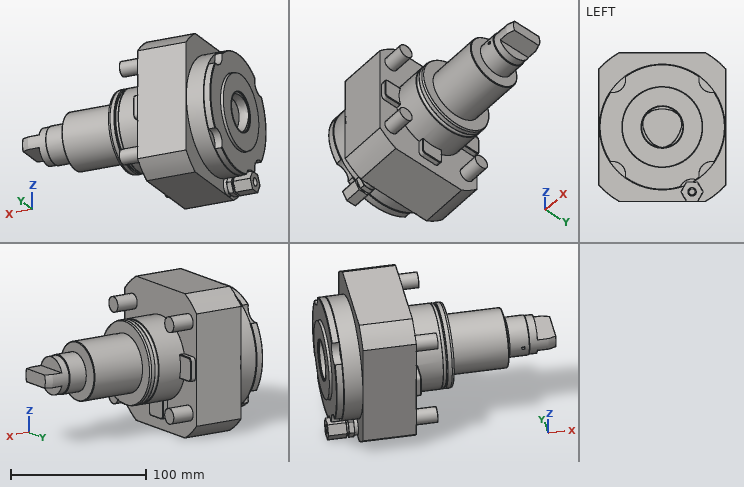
import cadquery as cq
import math


BLOCK_LENGTH = 40.0
BLOCK_WIDTH = 94.0
BLOCK_HEIGHT = 110.0
BLOCK_CORNER_RADIUS = 63.6
BLOCK_FRONT = -BLOCK_LENGTH

BODY_RADIUS = 46.5
BODY_FRONT = -54.0
PLATE_FRONT = -60.0
PLATE_CHAMFER = 0.5
NOSE_RADIUS = 29.5
NOSE_FRONT = -62.0
NOSE_CLEARANCE_RADIUS = 29.9
NOTCH_RADIUS = 9.5

SOCKET_RADIUS = 14.2
SOCKET_LOBE = 0.9
SOCKET_DEPTH = 8.7
SOCKET_POINTS = 36
SOCKET_MOUTH_RADIUS = 15.7
SOCKET_MOUTH_DEPTH = 1.0

FITTING_WIDTH = 14.3
FITTING_Y = -22.0
FITTING_Z = -(BLOCK_HEIGHT - FITTING_WIDTH) / 2
FITTING_FRONT = -62.7
NUT_REAR = -48.5
LOCKNUT_FRONT = -47.0
LOCKNUT_REAR = -43.0
FITTING_STEM_RADIUS = 5.8
FITTING_BORE_RADIUS = 2.3
FITTING_MOUTH_RADIUS = 3.1
FITTING_MOUTH_DEPTH = 7.0

SCREW_Y = 36.5
SCREW_Z = 35.0
SCREW_RADIUS = 6.0
SCREW_LENGTH = 17.3
KEY_WIDTH = 18.3
KEY_HEIGHT = 4.2
KEY_CHAMFER = 0.5
KEY_CORNER_RADIUS = 2.8
KEY_OUTER = 45.5

PILOT_RADIUS = 32.1
PILOT_REAR = 31.6
PILOT_CHAMFER_LENGTH = 1.5
PILOT_CHAMFER_DEPTH = 0.5
GROOVE_FRONT = 23.4
GROOVE_REAR = 26.9
GROOVE_DEPTH = 1.4
RING_RADIUS = 1.4
RING_X = 24.6

SHAFT_RADIUS = 22.5
SHAFT_REAR = 74.8
SHAFT_CHAMFER = 0.5
NECK_RADIUS = 9.3
DRIVE_FRONT = 76.9
DRIVE_RADIUS = 15.0
DRIVE_STEP = 91.4
DRIVE_STEP_CHAMFER = 0.5
TONGUE_RADIUS = 14.5
TONGUE_FRONT = 97.8
TONGUE_TAPER_START = 106.2
TONGUE_REAR = 112.0
TONGUE_END_RADIUS = 12.8
TONGUE_THICKNESS = 10.1
PIN_HOLE_X = 87.0
PIN_HOLE_RADIUS = 1.2
PIN_HOLE_DEPTH = 1.7


def plane_at(x):
    """Plane across the tool axis: local x is Y, local y is Z, extrusion runs to +X."""
    return cq.Workplane("YZ", origin=(x, 0, 0))


def cylinder(x_start, x_end, radius, y=0, z=0):
    return plane_at(x_start).center(y, z).circle(radius).extrude(x_end - x_start)


def hexagon(x_start, x_end, y, z):
    corner_diameter = FITTING_WIDTH / math.cos(math.pi / 6)
    return plane_at(x_start).center(y, z).polygon(6, corner_diameter).extrude(x_end - x_start)


def corner_positions():
    return [(sy * SCREW_Y, sz * SCREW_Z) for sy in (-1, 1) for sz in (-1, 1)]


def make_block():
    block = plane_at(BLOCK_FRONT).rect(BLOCK_WIDTH, BLOCK_HEIGHT).extrude(BLOCK_LENGTH)
    return block.intersect(cylinder(BLOCK_FRONT, 0, BLOCK_CORNER_RADIUS))


def make_cover():
    """Cover plate, notched for the corner screws and the fitting, with its nose."""
    plate = cylinder(PLATE_FRONT, BODY_FRONT, BODY_RADIUS).edges().chamfer(PLATE_CHAMFER)
    for y, z in corner_positions() + [(FITTING_Y, FITTING_Z)]:
        plate = plate.cut(cylinder(PLATE_FRONT, BODY_FRONT, NOTCH_RADIUS, y, z))
    plate = plate.cut(cylinder(PLATE_FRONT, BODY_FRONT, NOSE_CLEARANCE_RADIUS))
    return plate.union(cylinder(NOSE_FRONT, BODY_FRONT, NOSE_RADIUS))


def make_socket():
    """Lobed pocket in the nose, one lobe pointing to -Z, with a round tapered mouth."""
    outline = []
    for i in range(SOCKET_POINTS):
        angle = 2 * math.pi * i / SOCKET_POINTS
        radius = SOCKET_RADIUS + SOCKET_LOBE * math.sin(3 * angle)
        outline.append((radius * math.cos(angle), radius * math.sin(angle)))
    pocket = plane_at(NOSE_FRONT).spline(outline, periodic=True).close().extrude(SOCKET_DEPTH)
    mouth = cylinder(NOSE_FRONT, NOSE_FRONT + SOCKET_MOUTH_DEPTH, SOCKET_MOUTH_RADIUS)
    return pocket.union(mouth.faces(">X").chamfer(SOCKET_MOUTH_DEPTH / 2))


def make_fitting():
    nut = hexagon(FITTING_FRONT, NUT_REAR, FITTING_Y, FITTING_Z)
    bore = cylinder(FITTING_FRONT, NUT_REAR, FITTING_BORE_RADIUS, FITTING_Y, FITTING_Z)
    mouth_end = FITTING_FRONT + FITTING_MOUTH_DEPTH
    mouth = cylinder(FITTING_FRONT, mouth_end, FITTING_MOUTH_RADIUS, FITTING_Y, FITTING_Z)
    nut = nut.cut(bore).cut(mouth)
    stem = cylinder(NUT_REAR, LOCKNUT_FRONT, FITTING_STEM_RADIUS, FITTING_Y, FITTING_Z)
    locknut = hexagon(LOCKNUT_FRONT, LOCKNUT_REAR, FITTING_Y, FITTING_Z)
    collar = cylinder(LOCKNUT_REAR, BLOCK_FRONT, FITTING_WIDTH / 2, FITTING_Y, FITTING_Z)
    return nut.union(stem).union(locknut).union(collar)


def make_key(angle):
    """Locating key reaching out from the pilot; an angle of 0 points it to +Y."""
    key = cq.Workplane("XY").box(KEY_HEIGHT, KEY_OUTER, KEY_WIDTH, centered=(False, False, True))
    key = key.faces(">Y").edges("|X").fillet(KEY_CORNER_RADIUS)
    key = key.faces(">X").chamfer(KEY_CHAMFER)
    return key.rotate((0, 0, 0), (1, 0, 0), angle)


def make_spindle():
    """Pilot with its O-ring, shaft, neck and drive end, all turned about X."""
    profile = [
        (0, 0),
        (0, PILOT_RADIUS),
        (GROOVE_FRONT, PILOT_RADIUS),
        (GROOVE_FRONT, PILOT_RADIUS - GROOVE_DEPTH),
        (GROOVE_REAR, PILOT_RADIUS - GROOVE_DEPTH),
        (GROOVE_REAR, PILOT_RADIUS),
        (PILOT_REAR - PILOT_CHAMFER_LENGTH, PILOT_RADIUS),
        (PILOT_REAR, PILOT_RADIUS - PILOT_CHAMFER_DEPTH),
        (PILOT_REAR, SHAFT_RADIUS),
        (SHAFT_REAR - SHAFT_CHAMFER, SHAFT_RADIUS),
        (SHAFT_REAR, SHAFT_RADIUS - SHAFT_CHAMFER),
        (SHAFT_REAR, NECK_RADIUS),
        (DRIVE_FRONT, NECK_RADIUS),
        (DRIVE_FRONT, DRIVE_RADIUS),
        (DRIVE_STEP, DRIVE_RADIUS),
        (DRIVE_STEP + DRIVE_STEP_CHAMFER, TONGUE_RADIUS),
        (TONGUE_TAPER_START, TONGUE_RADIUS),
        (TONGUE_REAR, TONGUE_END_RADIUS),
        (TONGUE_REAR, 0),
    ]
    spindle = cq.Workplane("XY").polyline(profile).close().revolve(360, (0, 0, 0), (1, 0, 0))
    ring = cq.Workplane("XY").moveTo(RING_X, PILOT_RADIUS - RING_RADIUS).circle(RING_RADIUS)
    ring = ring.revolve(360, (0, 0, 0), (1, 0, 0))
    return spindle.union(ring)


def cut_drive_end(body):
    """Flatten the end into a tongue and drill the pin hole from the -Y side."""
    flat_length = TONGUE_REAR - TONGUE_FRONT
    flat_depth = TONGUE_RADIUS - TONGUE_THICKNESS / 2
    flat_z = (TONGUE_RADIUS + TONGUE_THICKNESS / 2) / 2
    for side in (-1, 1):
        flat = cq.Workplane("XY").box(flat_length, 2 * TONGUE_RADIUS, flat_depth)
        body = body.cut(flat.translate((TONGUE_FRONT + flat_length / 2, 0, side * flat_z)))
    hole = cq.Workplane("XZ", origin=(PIN_HOLE_X, PIN_HOLE_DEPTH - DRIVE_RADIUS, 0))
    return body.cut(hole.circle(PIN_HOLE_RADIUS).extrude(PIN_HOLE_DEPTH))


result = make_block()
result = result.union(cylinder(BODY_FRONT, BLOCK_FRONT, BODY_RADIUS))
result = result.union(make_cover())
result = result.cut(make_socket())
result = result.union(make_fitting())
result = result.union(make_spindle())
for screw_y, screw_z in corner_positions():
    result = result.union(cylinder(0, SCREW_LENGTH, SCREW_RADIUS, screw_y, screw_z))
for key_angle in (0, 180, 270):
    result = result.union(make_key(key_angle))
result = cut_drive_end(result)